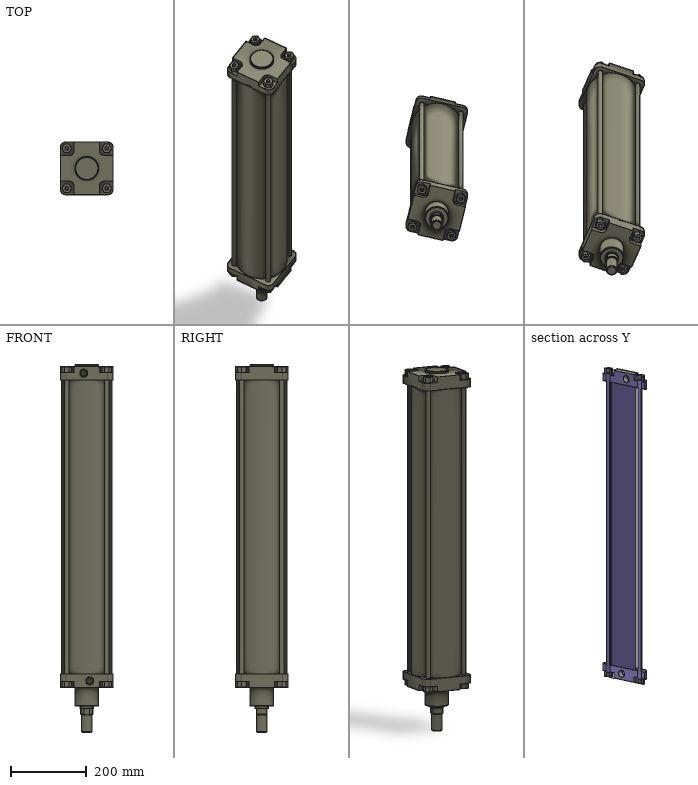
import cadquery as cq
import math


TOTAL_LENGTH = 974.0
CAP_WIDTH = 140.0

CAP_THICKNESS = 35.5
CAP_CORNER_RADIUS = 15.0
POCKET_SIZE = 36.0
POCKET_DEPTH = 15.0
POCKET_CORNER_RADIUS = 12.0
PORT_DIAMETER = 18.0
PORT_CHAMFER = 1.5
PORT_DEPTH = 20.0
PORT_OFFSET = 8.0
PORT_FACE_DISTANCE = 17.0

BOSS_DIAMETER = 63.0
BOSS_CHAMFER = 2.0
FRONT_BOSS_LENGTH = 50.0
REAR_BOSS_LENGTH = 6.0

ROD_COLLAR_DIAMETER = 35.0
ROD_DIAMETER = 33.0
SHOULDER_CHAMFER = 2.0
ROD_COLLAR_LENGTH = 6.0
FLATS_LENGTH = 17.0
FLATS_WIDTH = 29.0
ROD_END_DIAMETER = 28.0
ROD_END_LENGTH = 46.0
ROD_END_CHAMFER = 2.5

BARREL_DIAMETER = 134.5
TIE_ROD_DIAMETER = 12.0
TIE_ROD_SPACING = 106.0
HEAD_ACROSS_FLATS = 22.0
HEAD_HEIGHT = POCKET_DEPTH
SOCKET_DIAMETER = 10.0
SOCKET_DEPTH = 12.0

ROD_LENGTH = ROD_COLLAR_LENGTH + FLATS_LENGTH + ROD_END_LENGTH
BODY_LENGTH = TOTAL_LENGTH - ROD_LENGTH - FRONT_BOSS_LENGTH - REAR_BOSS_LENGTH
BARREL_LENGTH = BODY_LENGTH - 2 * CAP_THICKNESS
TIE_ROD_PLACE = TIE_ROD_SPACING / 2
CORNERS = [(1, 1), (-1, 1), (-1, -1), (1, -1)]


def make_pocket(sign_x, sign_y):
    """Corner recess cut inward from the outer cap face at z = 0, with a round inner corner."""
    return (
        cq.Workplane("XY")
        .rect(2 * POCKET_SIZE, 2 * POCKET_SIZE)
        .extrude(POCKET_DEPTH)
        .edges("|Z")
        .fillet(POCKET_CORNER_RADIUS)
        .translate((sign_x * CAP_WIDTH / 2, sign_y * CAP_WIDTH / 2, 0))
    )


def make_port(port_x):
    """Blind port drilled inward from the -Y side, with a countersunk mouth."""
    side_face = cq.Workplane("XZ", origin=(port_x, -CAP_WIDTH / 2, PORT_FACE_DISTANCE))
    bore = side_face.circle(PORT_DIAMETER / 2).extrude(-PORT_DEPTH)
    mouth = (
        side_face.circle(PORT_DIAMETER / 2 + PORT_CHAMFER)
        .workplane(offset=-PORT_CHAMFER)
        .circle(PORT_DIAMETER / 2)
        .loft()
    )
    return bore.union(mouth)


def make_cap(boss_length, port_x):
    """End cap with its outer face at z = 0, its boss below and its body above."""
    cap = (
        cq.Workplane("XY")
        .rect(CAP_WIDTH, CAP_WIDTH)
        .extrude(CAP_THICKNESS)
        .edges("|Z")
        .fillet(CAP_CORNER_RADIUS)
    )
    boss = (
        cq.Workplane("XY")
        .circle(BOSS_DIAMETER / 2)
        .extrude(-boss_length)
        .faces("<Z")
        .chamfer(BOSS_CHAMFER)
    )
    cap = cap.union(boss)
    for sign_x, sign_y in CORNERS:
        cap = cap.cut(make_pocket(sign_x, sign_y))
    tie_rod_holes = (
        cq.Workplane("XY")
        .rect(TIE_ROD_SPACING, TIE_ROD_SPACING, forConstruction=True)
        .vertices()
        .circle(TIE_ROD_DIAMETER / 2)
        .extrude(CAP_THICKNESS)
    )
    return cap.cut(tie_rod_holes).cut(make_port(port_x))


def make_front_cap():
    return make_cap(FRONT_BOSS_LENGTH, PORT_OFFSET)


def make_rear_cap():
    """Rear cap: the mirror image of a cap, placed at the top of the barrel."""
    return (
        make_cap(REAR_BOSS_LENGTH, -PORT_OFFSET)
        .mirror("XY")
        .translate((0, 0, BODY_LENGTH))
    )


def make_barrel():
    return (
        cq.Workplane("XY", origin=(0, 0, CAP_THICKNESS))
        .circle(BARREL_DIAMETER / 2)
        .extrude(BARREL_LENGTH)
    )


def make_piston_rod():
    """Rod below the front boss: round collar, two wrench flats facing Y, and a slimmer end."""
    collar = cq.Workplane("XY").circle(ROD_COLLAR_DIAMETER / 2).extrude(-ROD_COLLAR_LENGTH)
    shoulder = (
        cq.Workplane("XY", origin=(0, 0, -ROD_COLLAR_LENGTH))
        .circle(ROD_DIAMETER / 2)
        .extrude(-FLATS_LENGTH)
        .faces("<Z")
        .chamfer(SHOULDER_CHAMFER)
    )
    flats = (
        cq.Workplane("XY", origin=(0, 0, -ROD_COLLAR_LENGTH))
        .rect(ROD_DIAMETER, FLATS_WIDTH)
        .extrude(-FLATS_LENGTH)
    )
    rod_end = (
        cq.Workplane("XY")
        .circle(ROD_END_DIAMETER / 2)
        .extrude(-ROD_LENGTH)
        .faces("<Z")
        .chamfer(ROD_END_CHAMFER)
    )
    rod = shoulder.intersect(flats).union(collar).union(rod_end)
    return rod.translate((0, 0, -FRONT_BOSS_LENGTH))


def make_tie_rod(x, y):
    """Tie rod through both caps, with a hexagon head bored by a round socket at each end."""
    tie_rod = cq.Workplane("XY").circle(TIE_ROD_DIAMETER / 2).extrude(BODY_LENGTH)
    across_corners = HEAD_ACROSS_FLATS / math.cos(math.pi / 6)
    for head_base in (0, BODY_LENGTH - HEAD_HEIGHT):
        head = (
            cq.Workplane("XY", origin=(0, 0, head_base))
            .polygon(6, across_corners)
            .extrude(HEAD_HEIGHT)
        )
        tie_rod = tie_rod.union(head)
    for socket_base in (0, BODY_LENGTH - SOCKET_DEPTH):
        socket = (
            cq.Workplane("XY", origin=(0, 0, socket_base))
            .circle(SOCKET_DIAMETER / 2)
            .extrude(SOCKET_DEPTH)
        )
        tie_rod = tie_rod.cut(socket)
    return tie_rod.translate((x, y, 0))


front_cap = make_front_cap()
rear_cap = make_rear_cap()
barrel = make_barrel()
piston_rod = make_piston_rod()
tie_rods = [make_tie_rod(sx * TIE_ROD_PLACE, sy * TIE_ROD_PLACE) for sx, sy in CORNERS]

result = cq.Compound.makeCompound(
    [front_cap.val(), rear_cap.val(), barrel.val(), piston_rod.val()]
    + [tie_rod.val() for tie_rod in tie_rods]
)